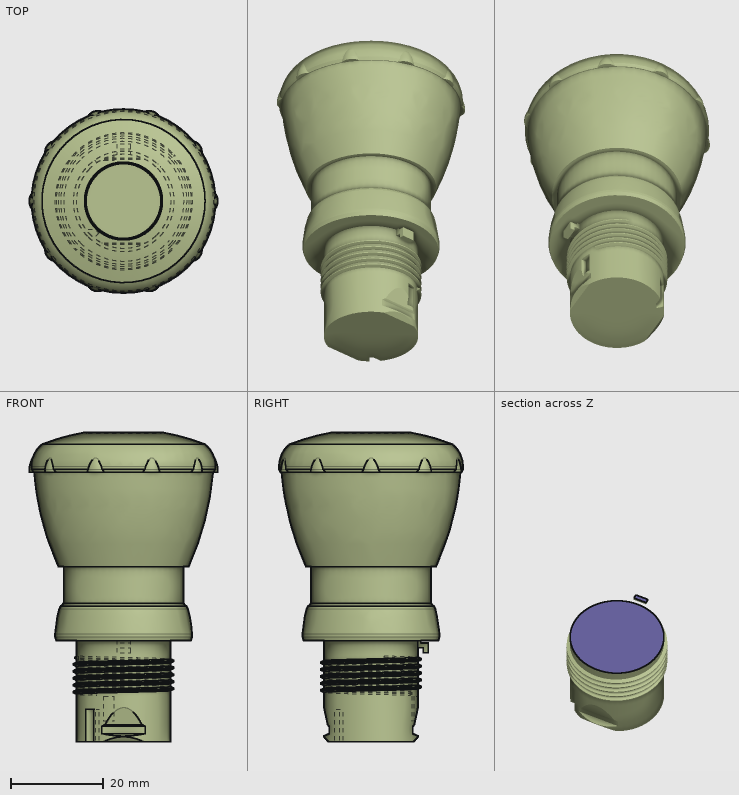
import cadquery as cq
import math


barrel_radius = 10.2

thread_crest_radius = 10.9
thread_pitch = 1.5
thread_turns = 5.11
thread_start_z = 10.52
thread_start_angle = 125
thread_root_half_width = 0.5
thread_crest_half_width = 0.1
thread_embed = 0.15

collar_bottom_z = 21.86
collar_bevel_z = 22.75
collar_band_top_z = 23.4
collar_shoulder_z = 28.75
collar_lip_z = 29.3
collar_top_z = 29.6
collar_radius = 14.85
collar_bottom_radius = 14.6
collar_middle_radius = 14.55
collar_shoulder_radius = 13.95
collar_lip_radius = 13.65
collar_top_radius = 13.3

neck_radius = 13.0
neck_bottom_z = 30.0

head_bottom_z = 37.87
head_bottom_radius = 14.1
head_middle_z = 48.0
head_middle_radius = 17.65
head_top_radius = 19.4
rim_bottom_z = 58.3
rim_band_bottom_z = 59.0
rim_band_top_z = 59.56
rim_radius = 19.925
rim_bottom_radius = 19.6
rim_arc_radius = 6.2
dome_edge_radius = 17.65
overall_height = 66.95
dome_sphere_radius = 47.0

dish_rim_radius = 8.43
dish_floor_radius = 8.1
dish_depth = 0.2

bump_count = 10
bump_outer_radius = 20.42
bump_base_radius = 2.52
bump_middle_radius = 2.25
bump_top_radius = 1.71
bump_top_z = 61.5

flat_distance = 9.07
flat_bottom_z = 1.76
flat_top_z = 3.31
ramp_bottom_distance = 9.4
ramp_bottom_z = 3.73
ramp_top_z = 7.45
barb_tip_z = 1.24
barb_bevel_top_z = 1.07
barb_foot_distance = 9.24

keyway_height = 7.0
keyway_floor_radius = 8.7
keyway_side_y = -6.15
keyway_slant_offset = 1.49

window_x_min = -4.4
window_x_max = -2.1
window_floor_y = 8.8
window_bottom_z = 4.5
window_top_z = 9.8

hook_width = 3.0
hook_reach = 12.4
hook_thickness = 1.1
hook_top_z = 21.4
hook_bottom_z = 19.24
hook_web_reach = 10.8

overshoot = 2.0


def arc_height(arc_centre_radius, radius):
    """Height of the rim arc above the rim band at the given radius."""
    return math.sqrt(rim_arc_radius**2 - (radius - arc_centre_radius) ** 2)


def make_body():
    """Revolved outline of barrel, collar, neck and mushroom head."""
    rim_arc_centre = rim_radius - rim_arc_radius
    dome_edge_z = rim_band_top_z + arc_height(rim_arc_centre, dome_edge_radius)
    rim_middle_radius = rim_arc_centre + rim_arc_radius * math.cos(math.radians(25))
    rim_middle_z = rim_band_top_z + arc_height(rim_arc_centre, rim_middle_radius)

    dome_middle_radius = (dome_edge_radius + dish_rim_radius) / 2
    dome_drop = (dome_middle_radius**2 - dish_rim_radius**2) / (2 * dome_sphere_radius)
    dome_middle_z = overall_height - dome_drop
    collar_middle_z = (collar_band_top_z + collar_shoulder_z) / 2

    outline = (
        cq.Workplane("XZ")
        .moveTo(0, 0)
        .lineTo(barrel_radius, 0)
        .lineTo(barrel_radius, collar_bottom_z)
        .lineTo(collar_bottom_radius, collar_bottom_z)
        .lineTo(collar_radius, collar_bevel_z)
        .lineTo(collar_radius, collar_band_top_z)
        .threePointArc((collar_middle_radius, collar_middle_z), (collar_shoulder_radius, collar_shoulder_z))
        .lineTo(collar_lip_radius, collar_lip_z)
        .lineTo(collar_top_radius, collar_top_z)
        .lineTo(neck_radius, neck_bottom_z)
        .lineTo(neck_radius, head_bottom_z)
        .lineTo(head_bottom_radius, head_bottom_z)
        .threePointArc((head_middle_radius, head_middle_z), (head_top_radius, rim_bottom_z))
        .lineTo(rim_bottom_radius, rim_bottom_z)
        .lineTo(rim_radius, rim_band_bottom_z)
        .lineTo(rim_radius, rim_band_top_z)
        .threePointArc((rim_middle_radius, rim_middle_z), (dome_edge_radius, dome_edge_z))
        .threePointArc((dome_middle_radius, dome_middle_z), (dish_rim_radius, overall_height))
        .lineTo(dish_floor_radius, overall_height - dish_depth)
        .lineTo(0, overall_height - dish_depth)
        .close()
    )
    return outline.revolve(360, (0, 0, 0), (0, 1, 0))


def make_bump(angle):
    """Grip bump: an upright post with a curved, tapering top, standing out of the rim."""
    centre_radius = bump_outer_radius - bump_base_radius
    bump_middle_z = (rim_band_bottom_z + bump_top_z) / 2
    bump = (
        cq.Workplane("XZ")
        .moveTo(0, rim_bottom_z)
        .lineTo(bump_base_radius, rim_bottom_z)
        .lineTo(bump_base_radius, rim_band_bottom_z)
        .threePointArc((bump_middle_radius, bump_middle_z), (bump_top_radius, bump_top_z))
        .lineTo(0, bump_top_z)
        .close()
        .revolve(360, (0, 0, 0), (0, 1, 0))
    )
    return bump.translate((centre_radius, 0, 0)).rotate((0, 0, 0), (0, 0, 1), angle)


def make_thread():
    """Right-handed external thread ridge, sunk slightly into the barrel."""
    root_radius = barrel_radius - thread_embed
    helix = cq.Wire.makeHelix(thread_pitch, thread_pitch * thread_turns, root_radius)
    ridge = (
        cq.Workplane("XZ")
        .moveTo(root_radius, -thread_root_half_width)
        .lineTo(thread_crest_radius, -thread_crest_half_width)
        .lineTo(thread_crest_radius, thread_crest_half_width)
        .lineTo(root_radius, thread_root_half_width)
        .close()
        .sweep(cq.Workplane(helix), isFrenet=True)
    )
    return ridge.rotate((0, 0, 0), (0, 0, 1), thread_start_angle).translate((0, 0, thread_start_z))


def make_snap_flat_cut():
    """Material removed on the +Y side: ramp, flat, barb shoulder and bevelled foot."""
    outside = barrel_radius + overshoot
    undercut = (
        cq.Workplane("YZ")
        .moveTo(outside, ramp_top_z)
        .lineTo(barrel_radius, ramp_top_z)
        .lineTo(ramp_bottom_distance, ramp_bottom_z)
        .lineTo(flat_distance, flat_top_z)
        .lineTo(flat_distance, flat_bottom_z)
        .lineTo(barrel_radius, barb_tip_z)
        .lineTo(outside, barb_tip_z)
        .close()
        .extrude(barrel_radius, both=True)
    )
    foot_bevel = (
        cq.Workplane("YZ")
        .moveTo(barb_foot_distance, 0)
        .lineTo(barrel_radius, barb_bevel_top_z)
        .lineTo(barrel_radius, 0)
        .close()
        .extrude(barrel_radius, both=True)
    )
    return undercut.union(foot_bevel)


def make_keyway_cut():
    """Open-bottomed keyway: one side along X, the other at 45 degrees, rounded floor."""
    outside = barrel_radius + overshoot
    corner_x = keyway_side_y + keyway_slant_offset
    wedge = (
        cq.Workplane("XY")
        .moveTo(corner_x, keyway_side_y)
        .lineTo(-outside, keyway_side_y)
        .lineTo(-outside, -outside - keyway_slant_offset)
        .close()
        .extrude(keyway_height)
    )
    core = cq.Workplane("XY").circle(keyway_floor_radius).extrude(keyway_height)
    return wedge.cut(core)


def make_window_cut():
    """Rectangular pocket in the +Y side of the barrel."""
    return cq.Workplane("XY").box(
        window_x_max - window_x_min,
        barrel_radius + overshoot - window_floor_y,
        window_top_z - window_bottom_z,
        centered=False,
    ).translate((window_x_min, window_floor_y, window_bottom_z))


def make_hook():
    """L-shaped hook rooted in the barrel and joined to the collar by a short web."""
    root = barrel_radius - hook_thickness
    return (
        cq.Workplane("YZ")
        .moveTo(root, collar_bottom_z)
        .lineTo(hook_web_reach, collar_bottom_z)
        .lineTo(hook_web_reach, hook_top_z)
        .lineTo(hook_reach, hook_top_z)
        .lineTo(hook_reach, hook_bottom_z)
        .lineTo(hook_reach - hook_thickness, hook_bottom_z)
        .lineTo(hook_reach - hook_thickness, hook_top_z - hook_thickness)
        .lineTo(root, hook_top_z - hook_thickness)
        .close()
        .extrude(hook_width / 2, both=True)
    )


body = make_body()

for bump_index in range(bump_count):
    body = body.union(make_bump(bump_index * 360 / bump_count))

snap_flat_cut = make_snap_flat_cut()
body = body.cut(snap_flat_cut)
body = body.cut(snap_flat_cut.mirror("XZ"))
body = body.cut(make_keyway_cut())
body = body.cut(make_window_cut())
body = body.union(make_hook())

result = body.union(make_thread())